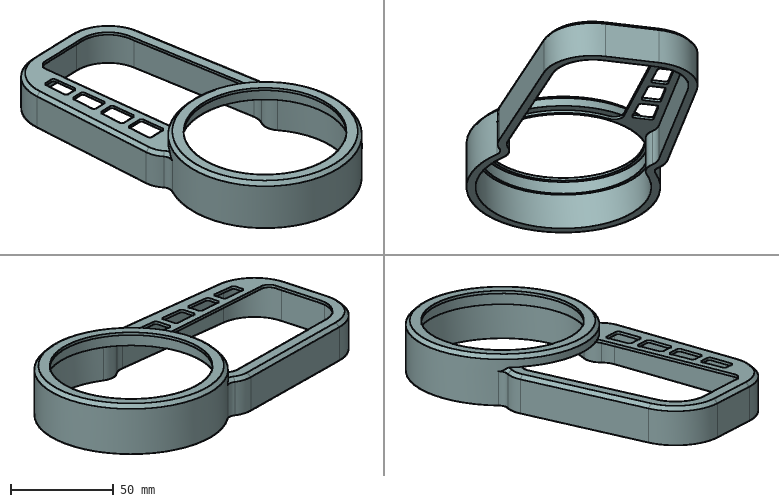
import cadquery as cq
import math


RING_RADIUS = 47.5
RING_HEIGHT = 26.3
RING_OPENING_RADIUS = 39.9
RING_BORE_RADIUS = 41.5
RIM_THICKNESS = 1.5

TOTAL_LENGTH = 185.5
PAD_HEIGHT = 20.0
PAD_LEFT = RING_RADIUS - TOTAL_LENGTH
PAD_RIGHT = -24.5
PAD_LEFT_HALF_WIDTH = 37.3
PAD_SIDE_ANGLE = 3.1
PAD_LEFT_CORNER_RADIUS = 25.0
PAD_RIGHT_CORNER_RADIUS = 15.0
JUNCTION_RADIUS = 5.0
JUNCTION_X_MIN = -37.1
JUNCTION_X_MAX = -18.5

WALL = 4.5
PLATE_THICKNESS = 1.5
EDGE_CHAMFER = 2.0

WINDOW_INSET = 8.0
WINDOW_BOTTOM = -19.1
WINDOW_CORNER_RADIUS = 5.0

BUTTON_COUNT = 4
BUTTON_WIDTH = 15.0
BUTTON_PITCH = 19.0
BUTTON_FIRST_LEFT = -116.9
BUTTON_TOP = -23.2
BUTTON_EDGE_INSET = 8.3
BUTTON_CORNER_RADIUS = 1.5

CAVITY_HEIGHT = PAD_HEIGHT - PLATE_THICKNESS
SIDE_SLOPE = math.tan(math.radians(PAD_SIDE_ANGLE))
SIDE_COSINE = math.cos(math.radians(PAD_SIDE_ANGLE))


def pad_half_width(x, inset=0):
    """Half width of the pad at x, with its sides moved inwards by inset."""
    return PAD_LEFT_HALF_WIDTH + (x - PAD_LEFT) * SIDE_SLOPE - inset / SIDE_COSINE


def pad(height, inset=0):
    """Rounded trapezoid whose whole outline is moved inwards by inset."""
    left = PAD_LEFT + inset
    right = PAD_RIGHT - inset
    left_half = pad_half_width(left, inset)
    right_half = pad_half_width(right, inset)
    corners = [(left, -left_half), (right, -right_half), (right, right_half), (left, left_half)]
    return (
        cq.Workplane("XY").polyline(corners).close().extrude(height)
        .edges("|Z and <X").fillet(PAD_LEFT_CORNER_RADIUS - inset)
        .edges("|Z and >X").fillet(PAD_RIGHT_CORNER_RADIUS - inset)
    )


def cylinder(radius, bottom, top):
    return cq.Workplane("XY").workplane(offset=bottom).circle(radius).extrude(top - bottom)


def pad_with_disc(height, inset=0):
    """Pad merged with the ring's disc, with the two inside corners rounded."""
    radius = RING_RADIUS - inset
    body = pad(height, inset).union(cylinder(radius, 0, height))
    junction = cq.selectors.BoxSelector(
        (JUNCTION_X_MIN, -RING_RADIUS, 0), (JUNCTION_X_MAX, RING_RADIUS, height)
    )
    return body.edges("|Z").edges(junction).fillet(JUNCTION_RADIUS + inset)


def outer_body():
    base = pad_with_disc(PAD_HEIGHT).faces(">Z").edges().chamfer(EDGE_CHAMFER)
    ring = cylinder(RING_RADIUS, 0, RING_HEIGHT).faces(">Z").edges().chamfer(EDGE_CHAMFER)
    return base.union(ring)


def window():
    """Window cutter: follows the pad outline above a straight lower edge, up to the ring's inner wall."""
    size = 2 * TOTAL_LENGTH
    above_buttons = cq.Workplane("XY").box(size, size, size).translate((0, WINDOW_BOTTOM + size / 2, 0))
    ring_inside = cylinder(RING_RADIUS - WALL, 0, PAD_HEIGHT)
    opening = pad(PAD_HEIGHT, WINDOW_INSET).intersect(above_buttons).cut(ring_inside)
    lower_corners = opening.faces("<Y").edges("|Z")
    return lower_corners.fillet(WINDOW_CORNER_RADIUS)


def button(left):
    """Button cutter: its lower edge runs parallel to the side of the pad."""
    right = left + BUTTON_WIDTH
    corners = [
        (left, BUTTON_TOP),
        (right, BUTTON_TOP),
        (right, -pad_half_width(right, BUTTON_EDGE_INSET)),
        (left, -pad_half_width(left, BUTTON_EDGE_INSET)),
    ]
    opening = cq.Workplane("XY").polyline(corners).close().extrude(PAD_HEIGHT)
    return opening.edges("|Z").fillet(BUTTON_CORNER_RADIUS)


frame = (
    outer_body()
    .cut(pad_with_disc(CAVITY_HEIGHT, WALL))
    .cut(cylinder(RING_BORE_RADIUS, 0, RING_HEIGHT - RIM_THICKNESS))
    .cut(cylinder(RING_OPENING_RADIUS, 0, RING_HEIGHT))
    .cut(window())
)
for index in range(BUTTON_COUNT):
    frame = frame.cut(button(BUTTON_FIRST_LEFT + index * BUTTON_PITCH))

result = cq.Workplane("XY").newObject([frame.solids().val()])